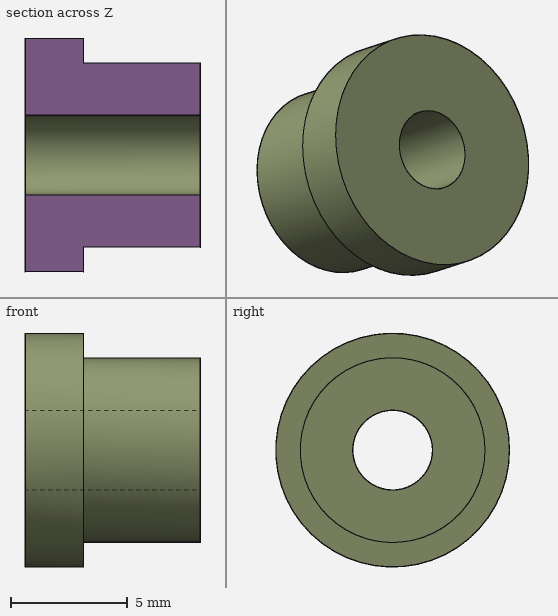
import cadquery as cq

flange_diameter = 10.0
flange_thickness = 2.5
sleeve_diameter = 7.9
sleeve_length = 5.0
bore_diameter = 3.4

total_length = flange_thickness + sleeve_length


def cylinder_along_x(diameter, length):
    """Solid cylinder on the X axis, starting at X = 0."""
    return cq.Workplane("YZ").circle(diameter / 2).extrude(length)


flange = cylinder_along_x(flange_diameter, flange_thickness)
sleeve = cylinder_along_x(sleeve_diameter, total_length)
bore = cylinder_along_x(bore_diameter, total_length)

result = flange.union(sleeve).cut(bore)